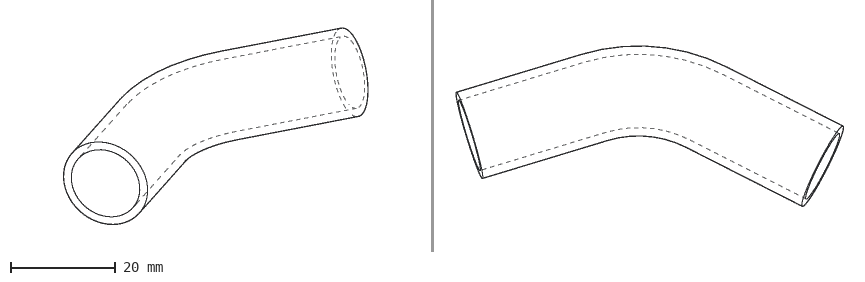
import cadquery as cq
import math

outer_diameter = 17.2
bore_diameter = 14.0
leg_length = 25.0
bend_angle = 45
total_length = 68.55

sine = math.sin(math.radians(bend_angle))
cosine = math.cos(math.radians(bend_angle))
reach_beyond_leg = total_length - leg_length - leg_length * cosine
bend_radius = reach_beyond_leg / sine - outer_diameter / 2

bend_end = (bend_radius * (1 - cosine), bend_radius * sine, 0)


def ring_profile(plane):
    """Wall cross-section of the tube, centred on the plane's origin."""
    return cq.Workplane(plane).circle(outer_diameter / 2).circle(bore_diameter / 2)


def leg(start, direction):
    """Straight tube running from start along direction."""
    plane = cq.Plane(origin=start, xDir=(0, 0, 1), normal=direction)
    return ring_profile(plane).extrude(leg_length)


def bend():
    """Tube bend from the +Y direction round towards +X."""
    axis_start = (bend_radius, 0)
    axis_end = (bend_radius, -1)
    return ring_profile("XZ").revolve(bend_angle, axis_start, axis_end)


straight_leg = leg((0, 0, 0), (0, -1, 0))
inclined_leg = leg(bend_end, (sine, cosine, 0))

result = straight_leg.union(bend()).union(inclined_leg)